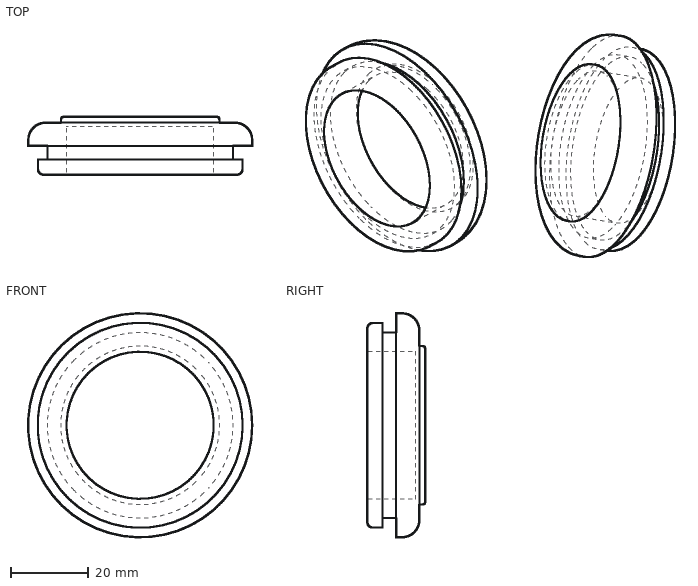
import cadquery as cq

flange_radius = 29.0
lip_radius = 26.5
groove_radius = 24.0
cap_radius = 20.55
cavity_radius = 19.0

lip_length = 4.0
groove_length = 3.5
flange_length = 6.05
cap_length = 1.5
cavity_depth = 12.5

lip_fillet = 1.5
flange_fillet = 4.5
cap_fillet = 0.75

total_length = lip_length + groove_length + flange_length + cap_length


def disc(radius, start, length):
    """Cylinder along +Y that begins at the given Y position."""
    plane = cq.Workplane("XZ", origin=(0, start, 0))
    return plane.circle(radius).extrude(-length)


groove_start = lip_length - total_length / 2
flange_start = groove_start + groove_length
cap_start = flange_start + flange_length
open_end = groove_start - lip_length

lip = disc(lip_radius, open_end, lip_length).faces("<Y").edges().fillet(lip_fillet)
groove = disc(groove_radius, groove_start, groove_length)
flange = disc(flange_radius, flange_start, flange_length).faces(">Y").edges().fillet(flange_fillet)
cap = disc(cap_radius, cap_start, cap_length).faces(">Y").edges().fillet(cap_fillet)

cavity = disc(cavity_radius, open_end, cavity_depth)

result = lip.union(groove).union(flange).union(cap).cut(cavity)